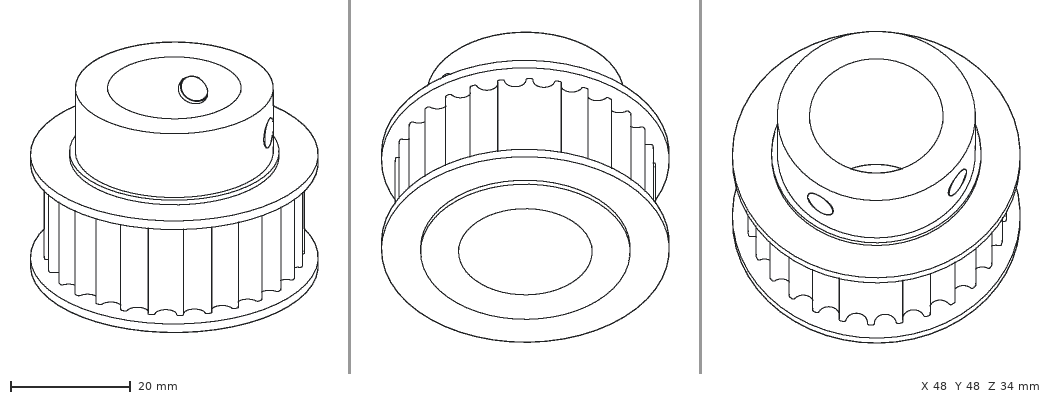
import cadquery as cq
import math

pulley_height = 34.0
toothed_height = 22.0

bore_radius = 11.15
hub_radius = 16.5
collar_radius = 17.45

flange_radius = 24.0
flange_disc_radius = 22.5
flange_thickness = 1.65
rim_rise = 0.4
collar_overhang = 0.85
belt_face_offset = collar_overhang + flange_thickness
belt_width = toothed_height - 2 * belt_face_offset

tooth_count = 28
tooth_angle = 360 / tooth_count
tip_radius = 21.7
groove_depth = 2.05
groove_radius = 1.8
tip_fillet = 0.35

screw_radius = 2.55
screw_height = (toothed_height + pulley_height) / 2
screw_inner_end = 11.75
screw_outer_end = hub_radius
screw_chamfer = 0.25
screw_angles = (0, 90)


def radial_cylinder(radius, start, end, angle):
    """Horizontal cylinder through the hub wall, pointing away from the axis."""
    return (
        cq.Workplane("YZ")
        .workplane(offset=start)
        .center(0, screw_height)
        .circle(radius)
        .extrude(end - start)
        .rotate((0, 0, 0), (0, 0, 1), angle)
    )


def make_groove():
    """Cutter for one round belt groove on +X, with its rounded mouth."""
    center = tip_radius - groove_depth + groove_radius
    fillet_orbit = tip_radius - tip_fillet
    reach = groove_radius + tip_fillet
    fillet_x = (fillet_orbit**2 + center**2 - reach**2) / (2 * center)
    fillet_y = math.sqrt(fillet_orbit**2 - fillet_x**2)

    side_ratio = groove_radius / reach
    side_x = center + (fillet_x - center) * side_ratio
    side_y = fillet_y * side_ratio
    mouth_x = fillet_x * tip_radius / fillet_orbit
    mouth_y = fillet_y * tip_radius / fillet_orbit

    to_side = math.atan2(side_y - fillet_y, side_x - fillet_x)
    to_mouth = math.atan2(fillet_y, fillet_x)
    middle = (to_side + to_mouth) / 2
    middle_x = fillet_x + tip_fillet * math.cos(middle)
    middle_y = fillet_y + tip_fillet * math.sin(middle)

    return (
        cq.Workplane("XY")
        .workplane(offset=belt_face_offset)
        .moveTo(mouth_x, mouth_y)
        .threePointArc((middle_x, middle_y), (side_x, side_y))
        .threePointArc((center - groove_radius, 0), (side_x, -side_y))
        .threePointArc((middle_x, -middle_y), (mouth_x, -mouth_y))
        .lineTo(flange_radius, -mouth_y)
        .lineTo(flange_radius, mouth_y)
        .close()
        .extrude(belt_width)
    )


def make_pulley():
    """Toothed wheel with a collar at each end, a hub on top and a through bore."""
    collars = cq.Workplane("XY").circle(collar_radius).extrude(toothed_height)
    wheel = cq.Workplane("XY").workplane(offset=belt_face_offset).circle(tip_radius).extrude(belt_width)
    hub = cq.Workplane("XY").circle(hub_radius).extrude(pulley_height)
    bore = cq.Workplane("XY").circle(bore_radius).extrude(pulley_height)

    groove = make_groove()
    for index in range(tooth_count):
        wheel = wheel.cut(groove.rotate((0, 0, 0), (0, 0, 1), index * tooth_angle))

    body = collars.union(wheel).union(hub).cut(bore)
    for angle in screw_angles:
        body = body.cut(radial_cylinder(screw_radius, 0, flange_radius, angle))
    return body.solids()


def make_bottom_flange():
    """Dished ring around the bottom collar, its rim bent away from the belt."""
    outer_face = collar_overhang
    belt_face = belt_face_offset
    return (
        cq.Workplane("XZ")
        .moveTo(collar_radius, outer_face)
        .lineTo(flange_disc_radius, outer_face)
        .lineTo(flange_radius, outer_face - rim_rise)
        .lineTo(flange_radius, belt_face - rim_rise)
        .lineTo(flange_disc_radius, belt_face)
        .lineTo(collar_radius, belt_face)
        .close()
        .revolve(360, (0, 0, 0), (0, 1, 0))
    )


def make_set_screw(angle):
    """Set screw filling its hole, with a chamfered end inside the bore."""
    return (
        radial_cylinder(screw_radius, screw_inner_end, screw_outer_end, 0)
        .faces("<X")
        .chamfer(screw_chamfer)
        .rotate((0, 0, 0), (0, 0, 1), angle)
    )


pulley = make_pulley()
bottom_flange = make_bottom_flange()
top_flange = bottom_flange.mirror("XY", (0, 0, toothed_height / 2))
set_screws = [make_set_screw(angle) for angle in screw_angles]

result = cq.Compound.makeCompound(
    [pulley.val(), bottom_flange.val(), top_flange.val()] + [screw.val() for screw in set_screws]
)